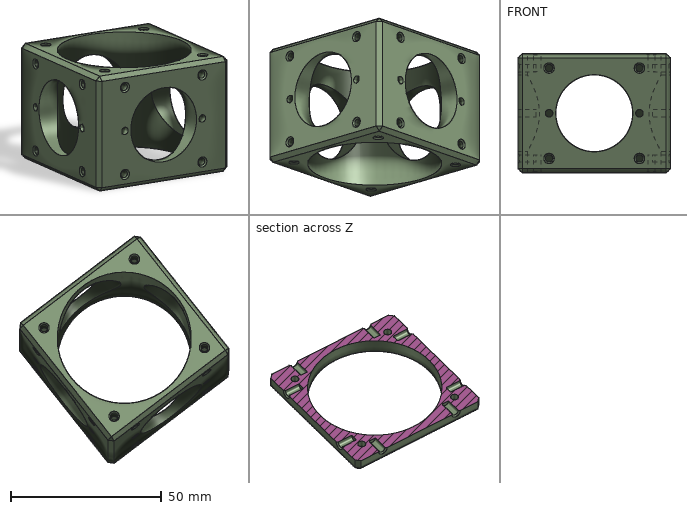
import cadquery as cq

side = 50.8
height = 39.6
edge_chamfer = 1.45

main_bore_diameter = 44.5
side_bore_diameter = 25.5

hole_depth = 6.0

screw_diameter = 2.45
countersink_diameter = 3.45
side_screw_spacing = 30.0
end_screw_spacing = 38.0

pin_diameter = 2.5

side_normals = [(1, 0, 0), (-1, 0, 0), (0, 1, 0), (0, -1, 0)]
end_normals = [(0, 0, 1), (0, 0, -1)]


def face_plane(normal):
    """Plane centred on the outer face that has the given normal."""
    distance = (height if normal[2] else side) / 2
    origin = tuple(distance * component for component in normal)
    along_face = (1, 0, 0) if normal[2] else (-normal[1], normal[0], 0)
    return cq.Plane(origin=origin, xDir=along_face, normal=normal)


def screw_holes(normal, spacing):
    """Four countersunk blind holes on a square pattern, as a cutting tool."""
    countersink_depth = (countersink_diameter - screw_diameter) / 2
    pattern = cq.Workplane(face_plane(normal)).rect(spacing, spacing, forConstruction=True).vertices()
    holes = pattern.circle(screw_diameter / 2).extrude(-hole_depth)
    mouths = pattern.circle(countersink_diameter / 2).extrude(-countersink_depth, taper=45)
    return holes.union(mouths)


def pin_holes(normal):
    """Two blind pin holes at mid-height, as a cutting tool."""
    offset = side_screw_spacing / 2
    centres = cq.Workplane(face_plane(normal)).pushPoints([(-offset, 0), (offset, 0)])
    return centres.circle(pin_diameter / 2).extrude(-hole_depth)


def through_bore(normal, diameter):
    """Round opening that passes right through the block along the normal."""
    return cq.Workplane(face_plane(normal)).circle(diameter / 2).extrude(-side)


block = cq.Workplane("XY").box(side, side, height).edges().chamfer(edge_chamfer)

result = block.cut(through_bore((0, 0, 1), main_bore_diameter))
for bore_normal in [(1, 0, 0), (0, 1, 0)]:
    result = result.cut(through_bore(bore_normal, side_bore_diameter))

for side_normal in side_normals:
    result = result.cut(screw_holes(side_normal, side_screw_spacing))
    result = result.cut(pin_holes(side_normal))

for end_normal in end_normals:
    result = result.cut(screw_holes(end_normal, end_screw_spacing))